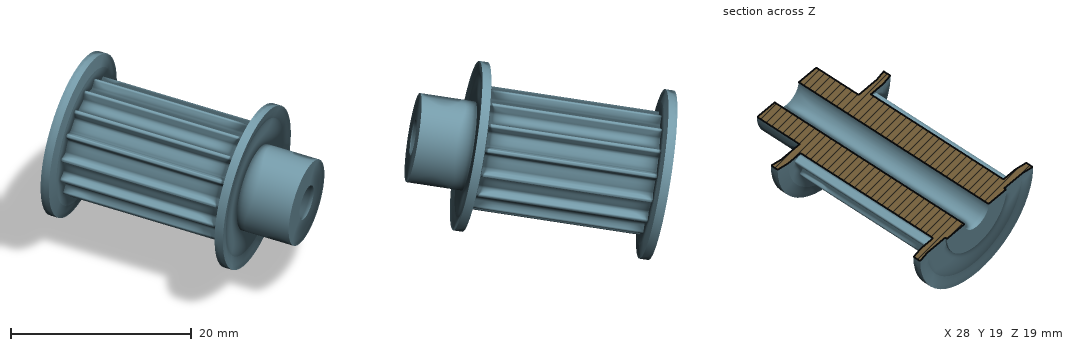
import cadquery as cq
import math

total_length = 28.0
hub_length = 6.0
flange_end = total_length - hub_length

flange_diameter = 19.0
flange_radius = flange_diameter / 2
flange_flat_radius = 8.0
sheet_thickness = 1.0
dish_depth = 0.25

hub_diameter = 10.0
bore_diameter = 4.0

tooth_count = 15
tip_radius = 6.95
root_radius = 5.95
tip_half_width = 0.2
flank_angle = 14.0
root_fillet = 0.28
tip_fillet = 0.2
pitch_angle = 360.0 / tooth_count


def rotated(point, angle):
    """Turn a (y, z) point about the X axis by an angle in degrees."""
    y, z = point
    cosine = math.cos(math.radians(angle))
    sine = math.sin(math.radians(angle))
    return (y * cosine - z * sine, y * sine + z * cosine)


def flank_points():
    """Tip and root corners of the +Y flank of the tooth pointing along +Z."""
    tip_z = math.sqrt(tip_radius**2 - tip_half_width**2)
    slope = math.tan(math.radians(flank_angle))
    offset = tip_half_width + slope * tip_z
    axis_distance = offset * math.cos(math.radians(flank_angle))
    root_angle = math.asin(axis_distance / root_radius) - math.radians(flank_angle)
    root_corner = (root_radius * math.sin(root_angle), root_radius * math.cos(root_angle))
    return (tip_half_width, tip_z), root_corner


def distance_from_axis(edge):
    """Distance of an edge's centre from the X axis."""
    centre = edge.Center()
    return math.hypot(centre.y, centre.z)


def make_toothed_drum(start, end):
    """Straight-flanked teeth on a drum, rounded at tips and roots."""
    (tip_y, tip_z), (root_y, root_z) = flank_points()
    outline = cq.Workplane("YZ", origin=(start, 0, 0)).moveTo(root_y, root_z)
    for i in range(tooth_count):
        angle = i * pitch_angle
        outline = outline.lineTo(*rotated((tip_y, tip_z), angle))
        tip_middle = rotated((0, tip_radius), angle)
        outline = outline.threePointArc(tip_middle, rotated((-tip_y, tip_z), angle))
        outline = outline.lineTo(*rotated((-root_y, root_z), angle))
        floor_middle = rotated((0, root_radius), angle + pitch_angle / 2)
        next_root = rotated((root_y, root_z), angle + pitch_angle)
        outline = outline.threePointArc(floor_middle, next_root)
    drum = outline.close().extrude(end - start)

    middle_radius = (tip_radius + root_radius) / 2
    corners = drum.edges("|X").vals()
    tip_corners = [e for e in corners if distance_from_axis(e) > middle_radius]
    root_corners = [e for e in corners if distance_from_axis(e) < middle_radius]
    rounded = drum.val().fillet(root_fillet, root_corners)
    return cq.Workplane(rounded.fillet(tip_fillet, tip_corners))


def make_flange(rim_face, inward):
    """Dished disc whose rim ends at rim_face; the centre is pushed inward, +1 or -1 along X."""
    dish = inward * dish_depth
    sheet = inward * sheet_thickness
    profile = [
        (rim_face + dish, 0),
        (rim_face + dish, flange_flat_radius),
        (rim_face, flange_radius),
        (rim_face + sheet, flange_radius),
        (rim_face + sheet + dish, flange_flat_radius),
        (rim_face + sheet + dish, 0),
    ]
    return cq.Workplane("XY").polyline(profile).close().revolve(360, (0, 0, 0), (1, 0, 0))


def make_cylinder(diameter):
    """Full-length cylinder on the X axis."""
    return cq.Workplane("YZ").circle(diameter / 2).extrude(total_length)


drum_start = dish_depth + sheet_thickness
drum = make_toothed_drum(drum_start, flange_end - drum_start)

result = (
    make_cylinder(hub_diameter)
    .union(drum)
    .union(make_flange(0, 1))
    .union(make_flange(flange_end, -1))
    .cut(make_cylinder(bore_diameter))
)